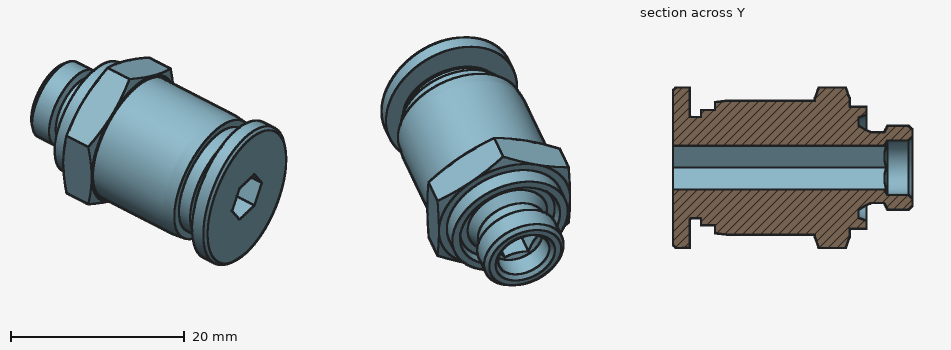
import cadquery as cq
import math

thread_chamfer_end = 0.5
thread_taper_start = 2.9
neck_start = 3.28
neck_end = 4.8
collar_start = 5.3
hex_start = 7.23
hex_end = 11.3
body_taper_start = 21.33
body_end = 22.77
sleeve_end = 24.37
flange_start = 25.65
length = 27.6

thread_radius = 4.85
thread_tip_radius = 4.4
neck_radius = 4.08
collar_radius = 7.05
body_radius = 7.73
body_tip_radius = 7.55
sleeve_radius = 6.65
stem_radius = 5.85
stem_flare = 0.1

hex_flats = 16.0
hex_corner_radius = hex_flats / 2 / math.cos(math.pi / 6)
hex_chamfer = 0.47

recess_floor = 6.2
neck_flare_radius = thread_radius
recess_mouth_radius = 6.1
recess_floor_radius = 5.77

flange_width = hex_flats
flange_height = 18.5
flange_chamfer_depth = 0.35
flange_chamfer_inset = 0.35

bore_radius = 3.12
bore_mouth_radius = 3.62
bore_chamfer = 0.5
bore_depth = 2.9
drill_half_angle = math.radians(59)
socket_flats = 5.0
socket_corner_diameter = socket_flats / math.cos(math.pi / 6)


def revolve_about_x(profile):
    """Revolve a closed (x, radius) outline about the X axis."""
    return cq.Workplane("XY").polyline(profile).close().revolve(360, (0, 0, 0), (1, 0, 0))


def plane_at(x):
    """Workplane facing +X, with local x along Y and local y along Z."""
    return cq.Workplane("YZ", origin=(x, 0, 0))


def turned_body():
    return revolve_about_x([
        (0, 0),
        (0, thread_tip_radius),
        (thread_chamfer_end, thread_radius),
        (thread_taper_start, thread_radius),
        (neck_start, neck_radius),
        (neck_end, neck_radius),
        (recess_floor, neck_flare_radius),
        (recess_floor, recess_floor_radius),
        (collar_start, recess_mouth_radius),
        (collar_start, collar_radius),
        (hex_start, collar_radius),
        (hex_start, body_radius),
        (body_taper_start, body_radius),
        (body_end, body_tip_radius),
        (body_end, sleeve_radius),
        (sleeve_end, sleeve_radius),
        (sleeve_end, stem_radius),
        (flange_start - stem_flare, stem_radius),
        (flange_start, stem_radius + stem_flare),
        (flange_start, 0),
    ])


def hex_nut():
    prism = (
        plane_at(hex_start)
        .transformed(rotate=(0, 0, 90))
        .polygon(6, 2 * hex_corner_radius)
        .extrude(hex_end - hex_start)
    )
    chamfer_envelope = revolve_about_x([
        (hex_start, 0),
        (hex_start, hex_flats / 2),
        (hex_start + hex_chamfer, hex_corner_radius),
        (hex_end - hex_chamfer, hex_corner_radius),
        (hex_end, hex_flats / 2),
        (hex_end, 0),
    ])
    return prism.intersect(chamfer_envelope)


def release_flange():
    return (
        plane_at(flange_start)
        .ellipse(flange_width / 2, flange_height / 2)
        .extrude(length - flange_start)
        .faces(">X")
        .edges()
        .chamfer(flange_chamfer_depth, flange_chamfer_inset)
    )


def bore():
    return revolve_about_x([
        (0, 0),
        (0, bore_mouth_radius),
        (bore_chamfer, bore_radius),
        (bore_depth, bore_radius),
        (bore_depth + bore_radius / math.tan(drill_half_angle), 0),
    ])


def key_socket():
    return plane_at(0).polygon(6, socket_corner_diameter).extrude(length)


result = (
    turned_body()
    .union(hex_nut())
    .union(release_flange())
    .cut(bore())
    .cut(key_socket())
)